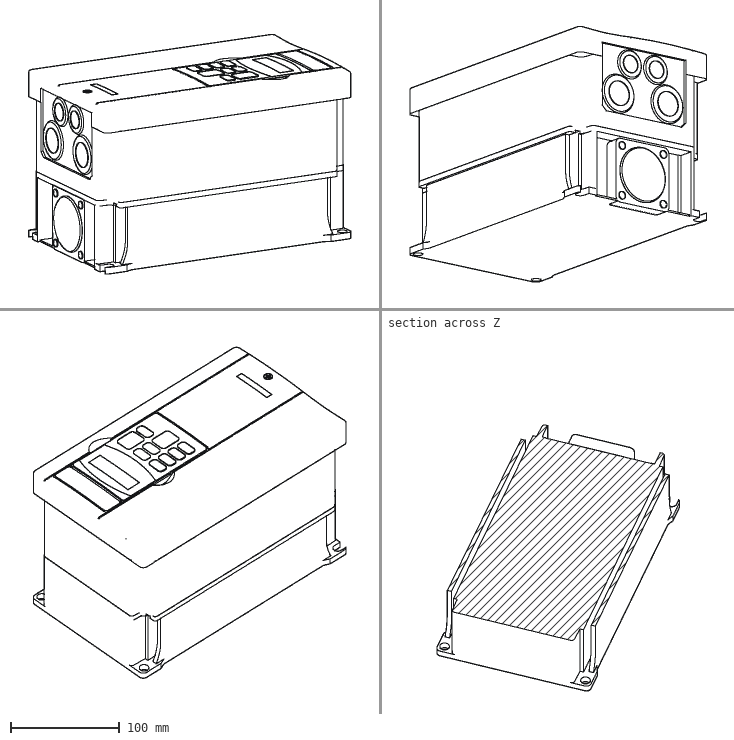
import cadquery as cq

width, length, height = 150.0, 260.0, 162.0
half_width, half_length = width / 2, length / 2
base_z = 0.8
foot_top_z = 7.0
skirt_z = 62.2
cover_z = 135.5

cover_corner_r = 4.7
cover_edge_r = 1.8
crest_x, crest_z = 23.5, 161.5
left_edge_z, trough_z, right_edge_z = 160.7, 159.2, 159.5
trough_x, fold_x, dip_sag = -43.0, -25.5, 0.3
panel_left, panel_right = -15.0, 57.5
panel_x = (panel_left + panel_right) / 2
panel_width = panel_right - panel_left
groove_width, groove_depth = 0.8, 1.0

joint_z, wall_inset = 67.4, 0.3
post_front_x, post_root_x, post_corner_r = 59.5, 60.0, 2.9
upper_shoulder_y, shoulder_fillet_r, skirt_corner_r = 114.7, 6.0, 2.5
core_x, core_y = 63.5, 113.1
plate_outer_x, plate_inner_x, plate_y = 72.3, 68.0, 105.0
plate_flare_z, plate_foot_y = 29.5, 110.8
gap_top_z = 64.5

foot_inner_x, foot_inner_y = 54.5, 100.7
foot_taper_y, foot_taper_length, foot_taper_depth = 107.2, 4.5, 2.0
foot_hole_d, foot_hole_x, foot_hole_y = 8.8, 68.7, 122.8

bay_half_width, bay_y, bay_floor_z = 54.5, 114.0, 2.3
bay_ledge_x, bay_ledge_depth = 51.5, 0.5
fan_size, fan_corner_r, fan_front_y = 61.5, 5.2, 127.5
fan_ring_r, fan_ring_height = 26.3, 1.8
fan_ring_edge_height, fan_ring_edge_width = 1.5, 1.0
fan_screw_pitch, fan_screw_r, fan_screw_height = 47.9, 3.6, 1.0

gland_panel_width, gland_panel_bottom, gland_panel_top = 97.0, 84.0, 149.0
gland_panel_chamfer, gland_panel_depth = 4.7, 2.5
small_gland = dict(x=15.0, z=134.2, base_r=13.8, rim_r=12.5, face_r=8.3)
large_gland = dict(x=28.4, z=103.8, base_r=18.5, rim_r=17.2, face_r=11.7)
gland_rim_height, gland_crown_height, gland_face_height = 1.5, 2.0, 1.3

seam_width, seam_depth, seam_corner_r = 1.5, 1.5, 4.2
window_y, window_length = 109.5, 22.0
keypad_y, keypad_length = 43.5, 110.0
display_half_width, display_crest_y, display_side_y = 34.3, 93.5, 87.5
display_low_side_y, display_low_y = 55.7, 50.5
display_depth = 0.3
screen_y, screen_width, screen_length = 76.0, 52.5, 14.5
screen_depth = 0.5
key_row_y = 40.5
key_column_pitch, key_row_pitch = 21.3, 12.0
key_width, key_length, key_corner_r, key_dome = 17.2, 9.5, 3.5, 0.3
key_root_z = 157.4

scoop_length, scoop_breadth, scoop_depth = 91.5, 49.5, 7.8
scoop_taper, scoop_tilt = 45, 11
scoop_y, scoop_top_z = 53.5, 160.7

label_y, label_width, label_length, label_depth = -101.7, 40.5, 6.2, 0.3
screw_y, screw_r, screw_seat_z, screw_top_z = -119.5, 4.2, 160.0, 161.8
screw_edge, screw_cross_length, screw_cross_width, screw_cross_depth = 0.5, 4.7, 1.3, 1.3


def block(x0, x1, y0, y1, z0, z1):
    """Box between the given corner coordinates."""
    return cq.Workplane("XY").box(x1 - x0, y1 - y0, z1 - z0, centered=False).translate((x0, y0, z0))


def mirror_quarters(solid):
    """The solid repeated in all four corners of the plan."""
    both_sides = solid.union(solid.mirror("YZ"))
    return both_sides.union(both_sides.mirror("XZ"))


def cover_top_outline(drop=0.0):
    """Closed XZ outline under the wavy cover top, lowered by drop."""
    crest_radius = ((half_width - crest_x) ** 2) / (2 * (crest_z - right_edge_z))

    def crown(x):
        return crest_z - (x - crest_x) ** 2 / (2 * crest_radius) - drop

    dip_x = (trough_x - half_width) / 2
    dip_z = (left_edge_z + trough_z) / 2 - dip_sag
    return (
        cq.Workplane("XZ", origin=(0, half_length, 0))
        .moveTo(-half_width, cover_z)
        .lineTo(-half_width, left_edge_z - drop)
        .threePointArc((dip_x, dip_z - drop), (trough_x, trough_z - drop))
        .lineTo(fold_x, crown(fold_x))
        .threePointArc((crest_x, crest_z - drop), (half_width, right_edge_z - drop))
        .lineTo(half_width, cover_z)
        .close()
    )


def under_cover_top(drop):
    """Space below the cover top surface lowered by drop."""
    return cover_top_outline(drop).extrude(length)


def make_cover():
    cover = cover_top_outline().extrude(length).edges("|Z").fillet(cover_corner_r)
    near_top = cq.selectors.BoxSelector((-width, -length, (cover_z + trough_z) / 2), (width, length, height))
    top_rim = cover.faces(">Y or <Y or >X or <X").edges("not(|Z)").edges(near_top)
    return top_rim.fillet(cover_edge_r)


def trace_post(outline, front_y, root_y):
    """Continue an outline from the plan centre around one corner post to its root."""
    return (
        outline.lineTo(0, front_y)
        .lineTo(post_front_x - post_corner_r, front_y)
        .radiusArc((post_front_x, front_y - post_corner_r), post_corner_r)
        .lineTo(post_root_x, root_y)
    )


def make_body_ring(bottom_z, top_z, inset):
    """Full-width body layer whose four corners step back to the posts."""
    side_x = half_width - inset
    shoulder_x = post_root_x + shoulder_fillet_r
    root_y = upper_shoulder_y + shoulder_fillet_r
    quarter = (
        trace_post(cq.Workplane("XY"), half_length - inset, root_y)
        .radiusArc((shoulder_x, upper_shoulder_y), -shoulder_fillet_r)
        .lineTo(side_x - skirt_corner_r, upper_shoulder_y)
        .radiusArc((side_x, upper_shoulder_y - skirt_corner_r), skirt_corner_r)
        .lineTo(side_x, 0)
        .close()
        .extrude(top_z - bottom_z)
        .translate((0, 0, bottom_z))
    )
    return mirror_quarters(quarter)


def make_lower_body():
    """Core with corner posts, flanked by side plates standing off across a narrow gap."""
    post = trace_post(cq.Workplane("XY"), half_length, core_y).lineTo(post_root_x, 0).close()
    posts = mirror_quarters(post.extrude(skirt_z - base_z).translate((0, 0, base_z)))
    core = block(-core_x, core_x, -core_y, core_y, base_z, gap_top_z)
    floor = block(-plate_outer_x, plate_outer_x, -plate_foot_y, plate_foot_y, base_z, foot_top_z)

    flare_run = plate_foot_y - plate_y
    flare_rise = plate_flare_z - foot_top_z
    flare_r = (flare_run ** 2 + flare_rise ** 2) / (2 * flare_run)
    plate = (
        cq.Workplane("YZ", origin=(plate_inner_x, 0, 0))
        .moveTo(-plate_foot_y, foot_top_z)
        .lineTo(plate_foot_y, foot_top_z)
        .radiusArc((plate_y, plate_flare_z), flare_r)
        .lineTo(plate_y, gap_top_z)
        .lineTo(-plate_y, gap_top_z)
        .lineTo(-plate_y, plate_flare_z)
        .radiusArc((-plate_foot_y, foot_top_z), flare_r)
        .close()
        .extrude(plate_outer_x - plate_inner_x)
    )
    return posts.union(core).union(floor).union(plate).union(plate.mirror("YZ"))


def make_gaps():
    """Slots between the core and the side plates, open at both ends."""
    gap = block(core_x, plate_inner_x, -half_length, half_length, foot_top_z, gap_top_z)
    return gap.union(gap.mirror("YZ"))


def make_feet():
    foot = (
        cq.Workplane("XY")
        .moveTo(foot_inner_x, half_length)
        .lineTo(half_width - cover_corner_r, half_length)
        .radiusArc((half_width, half_length - cover_corner_r), cover_corner_r)
        .lineTo(half_width, foot_taper_y)
        .lineTo(half_width - foot_taper_depth, foot_taper_y - foot_taper_length)
        .lineTo(plate_outer_x, foot_inner_y)
        .lineTo(foot_inner_x, foot_inner_y)
        .close()
        .extrude(foot_top_z - base_z)
        .translate((0, 0, base_z))
    )
    return mirror_quarters(foot)


def make_foot_openings():
    """Round holes in the rear feet, open-ended slots in the front feet."""
    places = [(sx * foot_hole_x, sy * foot_hole_y) for sx in (-1, 1) for sy in (-1, 1)]
    openings = cq.Workplane("XY").pushPoints(places).circle(foot_hole_d / 2).extrude(foot_top_z)
    for side in (-1, 1):
        x = side * foot_hole_x
        slot = block(x - foot_hole_d / 2, x + foot_hole_d / 2, -half_length, -foot_hole_y, 0, foot_top_z)
        openings = openings.union(slot)
    return openings


def make_fan_bay():
    """Bay between the front posts; its floor ends flush with the fan plate."""
    bay = block(-bay_half_width, bay_half_width, -half_length, -bay_y, bay_floor_z, skirt_z)
    for x0, x1 in ((-bay_half_width, -bay_ledge_x), (bay_ledge_x, bay_half_width)):
        bay = bay.cut(block(x0, x1, -bay_y - bay_ledge_depth, -bay_y, foot_top_z, skirt_z))
    below_floor = block(-bay_half_width, bay_half_width, -half_length, -fan_front_y, 0, bay_floor_z)
    return bay.union(below_floor)


def make_fan():
    def front_plane(y):
        return cq.Workplane("XZ", origin=(0, -y, fan_size / 2))

    plate = front_plane(bay_y).rect(fan_size, fan_size).extrude(fan_front_y - bay_y)
    plate = plate.edges("|Y").fillet(fan_corner_r)
    ring = front_plane(fan_front_y).circle(fan_ring_r).extrude(fan_ring_height)
    ring = ring.faces("<Y").chamfer(fan_ring_edge_height, fan_ring_edge_width)
    screws = (
        front_plane(fan_front_y)
        .rect(fan_screw_pitch, fan_screw_pitch, forConstruction=True)
        .vertices()
        .circle(fan_screw_r)
        .extrude(fan_screw_height)
    )
    return plate.union(ring).union(screws)


def make_gland_recess():
    panel_height = gland_panel_top - gland_panel_bottom
    mid_z = (gland_panel_top + gland_panel_bottom) / 2
    recess = (
        cq.Workplane("XZ", origin=(0, -half_length + gland_panel_depth, mid_z))
        .rect(gland_panel_width, panel_height)
        .extrude(gland_panel_depth)
    )
    return recess.edges("|Y and <Z").chamfer(gland_panel_chamfer)


def make_gland(side, gland):
    """Blind cable gland: a low rim, a shallow cone and a sunk flat face."""
    profile = (
        cq.Workplane("XY")
        .lineTo(gland["base_r"], 0)
        .lineTo(gland["rim_r"], -gland_rim_height)
        .lineTo(gland["face_r"], -gland_crown_height)
        .lineTo(gland["face_r"], -gland_face_height)
        .lineTo(0, -gland_face_height)
        .close()
    )
    solid = profile.revolve(360, (0, 0, 0), (0, 1, 0))
    return solid.translate((side * gland["x"], -half_length + gland_panel_depth, gland["z"]))


def panel_prism(x, y, size_x, size_y, corner_r):
    """Tall rounded prism standing through the cover top."""
    prism = cq.Workplane("XY").rect(size_x, size_y).extrude(height - cover_z)
    if corner_r > 0:
        prism = prism.edges("|Z").fillet(corner_r)
    return prism.translate((x, y, cover_z))


def make_seam(y, seam_length):
    """Groove around a rounded rectangle spanning the cover panel."""
    outer = panel_prism(panel_x, y, panel_width, seam_length, seam_corner_r)
    inner = panel_prism(
        panel_x, y, panel_width - 2 * seam_width, seam_length - 2 * seam_width, seam_corner_r - seam_width
    )
    return outer.cut(inner).cut(under_cover_top(seam_depth))


def make_panel_groove(x):
    """Narrow groove along the full length of the cover."""
    strip = block(x - groove_width / 2, x + groove_width / 2, -half_length, half_length, cover_z, height)
    return strip.cut(under_cover_top(groove_depth))


def make_display():
    """Lens-shaped display area with a rectangular screen, both slightly sunk."""
    left, right = panel_x - display_half_width, panel_x + display_half_width
    lens = (
        cq.Workplane("XY", origin=(0, 0, cover_z))
        .moveTo(left, display_side_y)
        .threePointArc((panel_x, display_crest_y), (right, display_side_y))
        .lineTo(right, display_low_side_y)
        .threePointArc((panel_x, display_low_y), (left, display_low_side_y))
        .close()
        .extrude(height - cover_z)
        .cut(under_cover_top(display_depth))
    )
    screen = panel_prism(panel_x, screen_y, screen_width, screen_length, 0)
    return lens.union(screen.cut(under_cover_top(screen_depth)))


def make_key(size_y):
    """Rounded key whose top is arched along Y."""
    side_z = height - key_dome
    arch = (
        cq.Workplane("YZ", origin=(-key_width / 2, 0, 0))
        .moveTo(-size_y / 2, key_root_z)
        .lineTo(-size_y / 2, side_z)
        .threePointArc((0, height), (size_y / 2, side_z))
        .lineTo(size_y / 2, key_root_z)
        .close()
        .extrude(key_width)
    )
    return arch.edges("|Z").fillet(key_corner_r)


def make_keys():
    """Keys as (column, first row, rows covered)."""
    layout = [(-1, 0, 1), (-1, 1, 1), (-1, 2, 1), (-1, 3, 1)]
    layout += [(0, 0, 1), (0, 1, 1), (0, 2, 2)]
    layout += [(1, 0, 2), (1, 2, 1)]
    keys = []
    for column, row, rows in layout:
        extra = (rows - 1) * key_row_pitch
        x = panel_x + column * key_column_pitch
        y = key_row_y - row * key_row_pitch - extra / 2
        keys.append(make_key(key_length + extra).translate((x, y, 0)))
    return keys


def make_scoops():
    """Tilted tapered oval, kept only outside the cover panel."""
    oval = (
        cq.Workplane("XY")
        .ellipse(scoop_length / 2, scoop_breadth / 2)
        .extrude(-scoop_depth, taper=scoop_taper)
        .rotate((0, 0, 0), (0, 0, 1), scoop_tilt)
        .translate((panel_x, scoop_y, scoop_top_z))
    )
    panel = block(panel_left, panel_right, -half_length, half_length, cover_z, height)
    return oval.cut(panel)


def make_label_recess():
    label = panel_prism(panel_x, label_y, label_width, label_length, 0)
    return label.cut(under_cover_top(label_depth))


def make_screw_seat():
    return cq.Workplane("XY", origin=(panel_x, screw_y, screw_seat_z)).circle(screw_r).extrude(height)


def make_screw():
    """Cross-head screw standing slightly proud of the cover."""
    top = cq.Workplane("XY", origin=(panel_x, screw_y, screw_top_z))
    head = top.circle(screw_r).extrude(screw_seat_z - screw_top_z).faces(">Z").chamfer(screw_edge)
    cross = top.rect(screw_cross_length, screw_cross_width).extrude(-screw_cross_depth)
    cross = cross.union(top.rect(screw_cross_width, screw_cross_length).extrude(-screw_cross_depth))
    return head.cut(cross)


result = make_cover().union(make_lower_body())
result = result.union(make_body_ring(skirt_z, joint_z, 0))
result = result.union(make_body_ring(joint_z, cover_z, wall_inset))
result = result.cut(make_gaps()).union(make_feet()).cut(make_foot_openings())

result = result.cut(make_fan_bay()).union(make_fan()).cut(make_gland_recess())
for gland in (small_gland, large_gland):
    for side in (-1, 1):
        result = result.union(make_gland(side, gland))

result = result.cut(make_scoops())
for groove_x in (panel_left, panel_right):
    result = result.cut(make_panel_groove(groove_x))
result = result.cut(make_seam(window_y, window_length)).cut(make_seam(keypad_y, keypad_length))
result = result.cut(make_display()).cut(make_label_recess())
for key in make_keys():
    result = result.union(key)
result = result.cut(make_screw_seat()).union(make_screw())